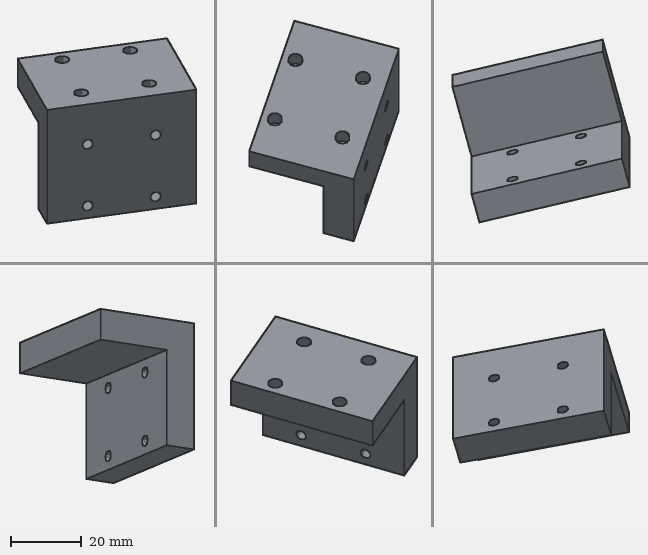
import cadquery as cq

length_x = 31.0
width_y = 44.0
height_z = 37.0
wall = 9.0

hole_spacing = 20.0
hole_edge_offset = 4.0
blind_hole_diameter = 4.0
blind_hole_depth = 6.0
through_hole_diameter = 3.0

hole_rows = (hole_edge_offset, hole_edge_offset + hole_spacing)
hole_columns = (-hole_spacing / 2, hole_spacing / 2)


def make_bracket():
    """Horizontal leg on top, vertical leg hanging down along its +X end."""
    top_leg = cq.Workplane("XY").box(length_x, width_y, wall, centered=(False, True, False))
    top_leg = top_leg.translate((0, 0, height_z - wall))
    side_leg = cq.Workplane("XY").box(wall, width_y, height_z, centered=(False, True, False))
    side_leg = side_leg.translate((length_x - wall, 0, 0))
    return top_leg.union(side_leg)


def make_blind_holes():
    """Flat-bottomed holes sunk into the top face."""
    centres = [(x, y) for x in hole_rows for y in hole_columns]
    return (
        cq.Workplane("XY", origin=(0, 0, height_z))
        .pushPoints(centres)
        .circle(blind_hole_diameter / 2)
        .extrude(-blind_hole_depth)
    )


def make_through_holes():
    """Holes passing along X through the vertical leg."""
    centres = [(y, z) for y in hole_columns for z in hole_rows]
    return (
        cq.Workplane("YZ", origin=(length_x - wall, 0, 0))
        .pushPoints(centres)
        .circle(through_hole_diameter / 2)
        .extrude(wall)
    )


result = make_bracket().cut(make_blind_holes()).cut(make_through_holes())